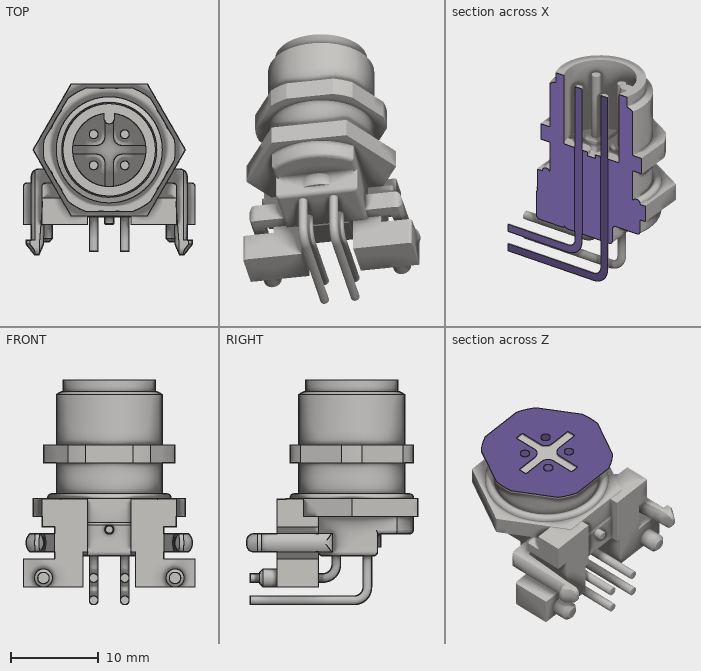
import cadquery as cq
import math


plug_top = 13.45
neck_radius = 5.25
thread_radius = 6.03
thread_top = 12.16
thread_chamfer_radius = 5.4
thread_chamfer_height = 0.37
socket_radius = 4.17
socket_floor = 4.5
key_width = 1.16
key_reach = 2.95
groove_width = 1.0
groove_depth = 0.5
groove_corner_radius = 0.95

flange_across_flats = 15.0
flange_thickness = 2.07
ring_cord_radius = 0.53
ring_centre_radius = 6.5
nut_across_flats = 14.0
nut_corner_radius = 7.5
nut_bottom = 4.02
nut_top = 6.09

insulator_radius = 7.0
insulator_half_width = 4.73
insulator_shoulder = -4.05
insulator_bottom = -6.54
insulator_back = 2.93
insulator_edge_radius = 0.45
insulator_corner_radius = 0.18
rear_boss_radius = 3.3
rear_boss_bottom = -5.55
tongue_front = -7.62
tongue_step_top = -2.77
tongue_step_bottom = -3.03
nub_radius = 0.52
nub_chamfer = 0.1
nub_height = -3.54

foot_front = -8.5
foot_back = -3.77
foot_inner = 2.45
foot_inner_low = 2.98
foot_waist = 6.2
foot_shoulder = 7.63
foot_outer = 9.75
foot_top = -0.08
foot_waist_top = -3.23
foot_waist_bottom = -6.88
foot_step = -6.09
foot_bottom = -10.1
foot_corner_radius = 0.36
flange_pocket_front = -5.47
peg_x = 7.48
peg_radius = 1.03
peg_chamfer = 0.38
peg_front = -10.47

arm_half_height = 1.035
arm_centre_height = -5.055
arm_bulge = 0.44
arm_outer = 8.87
arm_inner_root = 7.2
arm_root_bulge = 0.2
arm_root_radius = 0.3
arm_inner_tip = 7.46
arm_back = -2.17
arm_corner_radius = 0.9
barb_outer = 9.46
barb_back = -10.25
barb_widest = -10.73
arm_end = -11.94
arm_end_inner = 8.0
arm_end_outer = 8.5
arm_end_radius = 0.8

pin_radius = 0.5
pin_offset = 1.77
pin_top = 12.5
pin_bend_radius = 1.5
pin_tip = -11.55
short_pin_height = -9.05
pin_row_pitch = 2.54
long_pin_height = short_pin_height - pin_row_pitch

sides = (-1, 1)


def box(x_range, y_range, z_range):
    """Block between the given limits."""
    sizes = [limits[1] - limits[0] for limits in (x_range, y_range, z_range)]
    corner = (x_range[0], y_range[0], z_range[0])
    return cq.Workplane(cq.Solid.makeBox(*sizes, cq.Vector(*corner)))


def cylinder(radius, bottom, top):
    """Upright cylinder on the plug axis."""
    return cq.Workplane("XY").workplane(offset=bottom).circle(radius).extrude(top - bottom)


def hexagon(across_flats, bottom, top):
    """Hexagonal plate on the plug axis, with corners on the X axis."""
    across_corners = across_flats / math.cos(math.pi / 6)
    return cq.Workplane("XY").workplane(offset=bottom).polygon(6, across_corners).extrude(top - bottom)


def forward_cylinder(radius, x, z, back, front):
    """Cylinder pointing toward -Y."""
    return cq.Workplane("XZ", origin=(x, back, z)).circle(radius).extrude(back - front)


def inner_fillet(plane, offset, corner, radius, directions, length):
    """Concave quarter-round strip filling a corner; its legs run along the two signed directions."""
    u, v = corner
    u_end = u + directions[0] * radius
    v_end = v + directions[1] * radius
    arc_gap = radius * (1 - math.sqrt(0.5))
    arc_middle = (u + directions[0] * arc_gap, v + directions[1] * arc_gap)
    strip = cq.Workplane(plane).workplane(offset=offset).moveTo(u, v).lineTo(u_end, v)
    return strip.threePointArc(arc_middle, (u, v_end)).close().extrude(length)


def mirrored(shape):
    """The shape together with its twin on the other side of the YZ plane."""
    return shape.union(shape.mirror("YZ"))


def plug_barrel():
    thread = cq.Workplane("XZ").polyline([
        (0, 0),
        (thread_radius, 0),
        (thread_radius, thread_top - thread_chamfer_height),
        (thread_chamfer_radius, thread_top),
        (0, thread_top),
    ]).close().revolve(360, (0, 0), (0, 1))
    return thread.union(cylinder(neck_radius, 0, plug_top))


def socket_cavity():
    """Bore with a coding key left standing and a cross groove in its floor."""
    key_tip_centre = key_reach + key_width / 2
    key_bar = box((-key_width / 2, key_width / 2), (key_tip_centre, neck_radius), (socket_floor, plug_top))
    key_tip = cylinder(key_width / 2, socket_floor, plug_top).translate((0, key_tip_centre, 0))
    bore = cylinder(socket_radius, socket_floor, plug_top).cut(key_bar).cut(key_tip)

    half = groove_width / 2
    groove_floor = socket_floor - groove_depth
    depth_range = (groove_floor, socket_floor)
    long_range = (-neck_radius, neck_radius)
    cross = box(long_range, (-half, half), depth_range).union(box((-half, half), long_range, depth_range))
    inner_corners = cq.selectors.BoxSelector(
        (-groove_width, -groove_width, groove_floor - 1), (groove_width, groove_width, socket_floor + 1))
    cross = cross.edges("|Z").edges(inner_corners).fillet(groove_corner_radius)
    return bore.union(cross.intersect(cylinder(socket_radius, *depth_range)))


def nut():
    plate = hexagon(nut_across_flats, nut_bottom, nut_top)
    return plate.intersect(cylinder(nut_corner_radius, nut_bottom, nut_top))


def sealing_ring():
    """Cord seated in the flange up to the middle of its section."""
    return cq.Workplane(cq.Solid.makeTorus(ring_centre_radius, ring_cord_radius))


def insulator():
    width_range = (-insulator_half_width, insulator_half_width)
    flange_bottom = -flange_thickness
    rear = cylinder(insulator_radius, insulator_shoulder, flange_bottom)
    rear = rear.intersect(box(width_range, (0, insulator_radius), (insulator_shoulder, flange_bottom)))
    deep = box(width_range, (foot_back, insulator_back), (insulator_bottom, flange_bottom))
    boss = cylinder(rear_boss_radius, rear_boss_bottom, flange_bottom)
    deep = deep.edges("|Z and >Y").fillet(insulator_corner_radius)
    rear = rear.faces("<Z").edges(">Y or <X or >X").fillet(insulator_edge_radius)
    deep = deep.faces("<Z").edges("|Y or <Y").fillet(insulator_edge_radius)
    fillet_half_width = insulator_half_width - insulator_edge_radius
    step_fillet = inner_fillet("YZ", -fillet_half_width, (insulator_back, insulator_shoulder),
                               insulator_edge_radius, (1, -1), 2 * fillet_half_width)
    return rear.union(deep).union(boss).union(step_fillet)


def tongue():
    """Centre strip between the feet, flush with the flange and thicker below a small step."""
    flange_front = -flange_across_flats / 2
    strip = cq.Workplane("YZ", origin=(-foot_inner, 0, 0)).polyline([
        (foot_back, -flange_thickness),
        (flange_front, -flange_thickness),
        (flange_front, tongue_step_top),
        (tongue_front, tongue_step_bottom),
        (tongue_front, insulator_bottom),
        (foot_back, insulator_bottom),
    ]).close().extrude(2 * foot_inner)
    strip = strip.faces("<Z").edges("<Y").fillet(insulator_edge_radius)
    nub = forward_cylinder(nub_radius, 0, nub_height, foot_back, foot_front)
    return strip.union(nub.faces("<Y").chamfer(nub_chamfer))


def foot():
    """Right-hand mounting foot with its locating peg."""
    body = cq.Workplane("XZ", origin=(0, foot_back, 0)).polyline([
        (foot_inner, foot_top),
        (foot_shoulder, foot_top),
        (foot_shoulder, foot_waist_top),
        (foot_waist, foot_waist_top),
        (foot_waist, foot_waist_bottom),
        (foot_outer, foot_waist_bottom),
        (foot_outer, foot_bottom),
        (foot_inner_low, foot_bottom),
        (foot_inner_low, foot_step),
        (foot_inner, foot_step),
    ]).close().extrude(foot_back - foot_front)
    for x, z_range in (
        (foot_shoulder, (foot_waist_top, foot_top)),
        (foot_outer, (foot_bottom, foot_waist_bottom)),
    ):
        rear_corner = cq.selectors.NearestToPointSelector((x, foot_back, sum(z_range) / 2))
        body = body.edges("|Z").edges(rear_corner).fillet(foot_corner_radius)
    pocket = box((0, foot_outer), (flange_pocket_front, foot_back), (-flange_thickness, 0))
    peg = forward_cylinder(peg_radius, peg_x, short_pin_height, foot_front, peg_front)
    return body.cut(pocket).union(peg.faces("<Y").chamfer(peg_chamfer))


def arm_section(y, inner, outer, inner_bulge=arm_bulge):
    """Closed wire of the arm section at y: flat top and bottom, swelling flanks."""
    inner_edge = inner + inner_bulge
    outer_edge = outer - arm_bulge
    section = cq.Workplane("XZ", origin=(0, y, arm_centre_height)).moveTo(inner_edge, arm_half_height)
    section = section.lineTo(outer_edge, arm_half_height)
    section = section.threePointArc((outer, 0), (outer_edge, -arm_half_height))
    section = section.lineTo(inner_edge, -arm_half_height)
    section = section.threePointArc((inner, 0), (inner_edge, arm_half_height))
    return section.close().val()


def arm_piece(*sections):
    return cq.Workplane(cq.Solid.makeLoft(list(sections), True))


def snap_arm():
    """Right-hand snap arm: a shelf from the insulator, a tapering beam and a barbed head."""
    bottom = arm_centre_height - arm_half_height
    top = arm_centre_height + arm_half_height
    shelf = box((0, arm_outer), (foot_back, arm_back), (bottom, top))
    shelf = shelf.edges("|Z and >X and >Y").fillet(arm_corner_radius)
    flank = cq.Workplane(cq.Solid.extrudeLinear(
        arm_section(arm_back, -arm_bulge, arm_outer), [], cq.Vector(0, foot_back - arm_back, 0)))
    shelf = shelf.intersect(flank)

    beam = arm_piece(
        arm_section(foot_back, arm_inner_root, arm_outer, arm_root_bulge),
        arm_section(barb_back, arm_inner_tip, arm_outer),
    )
    root_x = arm_inner_root + arm_root_bulge
    root_fillet = inner_fillet("XY", bottom, (root_x, foot_back), arm_root_radius, (-1, -1), top - bottom)
    barb = arm_piece(
        arm_section(barb_back, arm_inner_tip, barb_outer),
        arm_section(barb_widest, arm_inner_tip, barb_outer),
    )
    end = arm_piece(
        arm_section(barb_widest, arm_inner_tip, barb_outer),
        arm_section(arm_end, arm_end_inner, arm_end_outer, arm_bulge - arm_end_outer + arm_end_inner),
    )
    rounding = box((0, foot_outer), (arm_end, barb_widest), (bottom, top))
    rounding = rounding.faces("<Y").edges("|X").fillet(arm_end_radius)
    return shelf.union(beam).union(root_fillet).union(barb).union(end.intersect(rounding))


def contact_pin(x, y, leg_height):
    """Round pin running down from the socket and bending forward into a solder leg."""
    bend_middle = pin_bend_radius * (1 - math.sqrt(0.5))
    path = (
        cq.Workplane("YZ", origin=(x, 0, 0))
        .moveTo(y, pin_top)
        .lineTo(y, leg_height + pin_bend_radius)
        .threePointArc((y - bend_middle, leg_height + bend_middle), (y - pin_bend_radius, leg_height))
        .lineTo(pin_tip, leg_height)
    )
    return cq.Workplane("XY", origin=(x, y, pin_top)).circle(pin_radius).sweep(path)


pins = []
for row_y, leg_height in ((pin_offset, long_pin_height), (-pin_offset, short_pin_height)):
    for side in sides:
        pins.append(contact_pin(side * pin_offset, row_y, leg_height))

housing = hexagon(flange_across_flats, -flange_thickness, 0)
for feature in (
    plug_barrel(),
    nut(),
    sealing_ring(),
    insulator(),
    tongue(),
    mirrored(foot()),
    mirrored(snap_arm()),
):
    housing = housing.union(feature)
housing = housing.cut(socket_cavity())
for pin in pins:
    housing = housing.cut(pin)

result = cq.Compound.makeCompound([housing.solids().val(), *[pin.val() for pin in pins]])